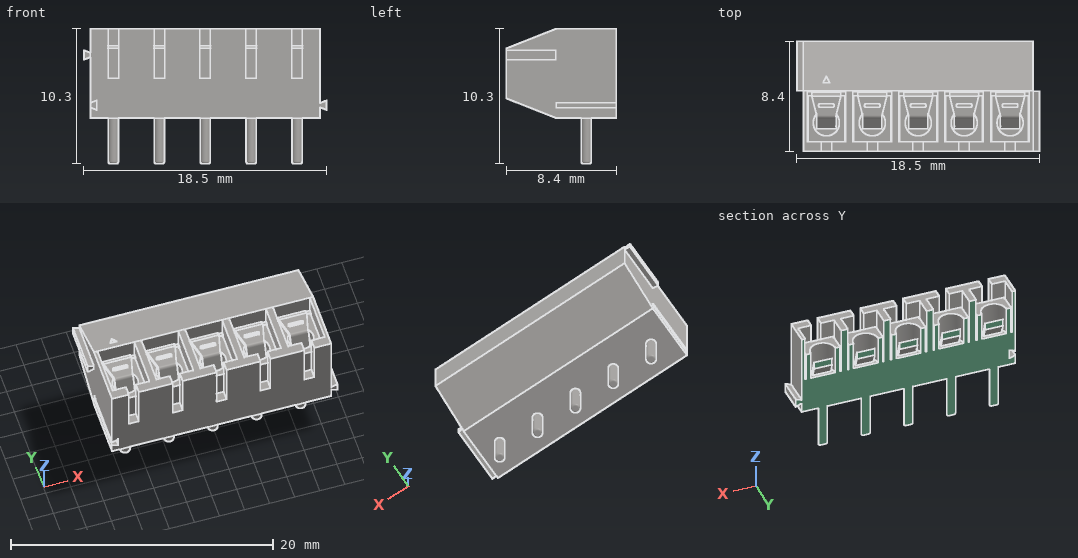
import cadquery as cq
import math


total_length = 18.5
total_height = 10.3

cell_count = 5
rail_height = 0.5
housing_length = total_length - 2 * rail_height
pitch = housing_length / cell_count
depth = 8.4
pin_length = 3.5
height = total_height - pin_length
bevel_depth = 3.8
bevel_drop = 1.5
roof_front = depth - bevel_depth

pocket_width = 2.95
front_wall = 0.74
pocket_depth = 3.8
pocket_floor = height - pocket_depth
slot_width = 0.8

cage_gap = 0.07
cage_height = 2.3
cage_top = pocket_floor + cage_height
shoulder_depth = 0.3
shoulder_drop = 0.1
back_gap = 0.05
cage_back = roof_front - back_gap
shoulder_front = cage_back - shoulder_depth
screw_y = 2.18
screw_diameter = 2.0

sheet = 0.2
tongue_top = cage_top + sheet
tongue_setback = 0.04
tongue_back = cage_back - tongue_setback
tongue_lip = 0.3
back_bend = tongue_back - tongue_lip
back_droop = 0.11
front_bend = 2.55
tongue_tip = 1.72
tip_drop = tongue_top - pocket_floor
tip_slope = math.atan2(tip_drop, front_bend - tongue_tip)
bend_radius = 0.28
taper_end = front_bend + bend_radius * math.tan(tip_slope / 2)
tongue_wide = 2.22
tongue_narrow = 1.48
tongue_slot_length = 1.2
tongue_slot_width = 0.28
tongue_slot_y = 3.5

pin_diameter = 0.8
pin_y = 2.3
pin_edge_radius = 0.18

dovetail_wide = 0.74
dovetail_narrow = 0.35
rear_rail_length = bevel_depth
rear_rail_z = 4.81
front_rail_length = 4.59
front_rail_z = 0.98

mark_width = 0.5
mark_length = 0.46
mark_y = 5.25
mark_depth = 0.1

cell_centres = [(i + 0.5 - cell_count / 2) * pitch for i in range(cell_count)]


def box(width, y_start, y_end, z_start, z_end):
    """Box centred on X = 0 between the given Y and Z limits."""
    return (
        cq.Workplane("XY")
        .box(width, y_end - y_start, z_end - z_start, centered=(True, False, False))
        .translate((0, y_start, z_start))
    )


def extrude_along_x(points, width):
    """Extrude a (Y, Z) outline symmetrically about X = 0."""
    return cq.Workplane("YZ").polyline(points).close().extrude(width / 2, both=True)


def make_housing():
    outline = [
        (0, 0),
        (roof_front, 0),
        (depth, bevel_drop),
        (depth, height - bevel_drop),
        (roof_front, height),
        (0, height),
    ]
    return extrude_along_x(outline, housing_length)


def make_pocket():
    pocket = box(pocket_width, front_wall, roof_front, pocket_floor, height)
    slot = box(slot_width, 0, front_wall, pocket_floor, height)
    return pocket.union(slot)


def make_cage():
    body = box(pocket_width - 2 * cage_gap, front_wall, shoulder_front, pocket_floor, cage_top)
    shoulder = box(pocket_width, shoulder_front, cage_back, pocket_floor, cage_top - shoulder_drop)
    screw_hole = (
        cq.Workplane("XY", origin=(0, screw_y, pocket_floor))
        .circle(screw_diameter / 2)
        .extrude(cage_height)
    )
    return body.union(shoulder).cut(screw_hole)


def make_tongue():
    upper = [
        (tongue_back, tongue_top - back_droop),
        (back_bend, tongue_top),
        (front_bend, tongue_top),
        (tongue_tip, pocket_floor),
    ]
    lower = [
        (tongue_tip + sheet / math.sin(tip_slope), pocket_floor),
        (front_bend + sheet * math.tan(tip_slope / 2), cage_top),
        (back_bend, cage_top),
        (tongue_back, cage_top - back_droop),
    ]
    strip = extrude_along_x(upper + lower, tongue_wide)
    bend_edge = cq.selectors.NearestToPointSelector((0, front_bend, tongue_top))
    strip = strip.edges(bend_edge).fillet(bend_radius)

    half_wide = tongue_wide / 2
    half_narrow = tongue_narrow / 2
    plan = (
        cq.Workplane("XY")
        .polyline([
            (-half_narrow, tongue_tip),
            (half_narrow, tongue_tip),
            (half_narrow, taper_end),
            (half_wide, back_bend),
            (half_wide, tongue_back),
            (-half_wide, tongue_back),
            (-half_wide, back_bend),
            (-half_narrow, taper_end),
        ])
        .close()
        .extrude(height)
    )
    slot = (
        cq.Workplane("XY", origin=(0, tongue_slot_y, cage_top))
        .slot2D(tongue_slot_length, tongue_slot_width)
        .extrude(sheet)
    )
    return strip.intersect(plan).cut(slot)


def make_pin():
    return (
        cq.Workplane("XY", origin=(0, pin_y, 0))
        .circle(pin_diameter / 2)
        .extrude(-pin_length)
        .faces("<Z")
        .edges()
        .fillet(pin_edge_radius)
    )


def make_dovetail(root_x, direction, root_width, end_width, z, y_start, y_end):
    """Dovetail bar along Y, reaching from root_x by the rail height in the given X direction."""
    end_x = root_x + direction * rail_height
    return (
        cq.Workplane("XZ", origin=(0, y_start, 0))
        .polyline([
            (root_x, z - root_width / 2),
            (end_x, z - end_width / 2),
            (end_x, z + end_width / 2),
            (root_x, z + root_width / 2),
        ])
        .close()
        .extrude(y_start - y_end)
    )


def make_mark():
    """Triangular prism sunk into the bevel at a constant vertical depth."""
    prism = (
        cq.Workplane("XY")
        .polyline([
            (-mark_width / 2, mark_y),
            (mark_width / 2, mark_y),
            (0, mark_y + mark_length),
        ])
        .close()
        .extrude(height)
    )
    prism = prism.translate((cell_centres[0], 0, 0))
    return prism.cut(make_housing().translate((0, 0, -mark_depth)))


result = make_housing().cut(make_mark())

pocket = make_pocket()
clamp = make_cage().union(make_tongue())
pin = make_pin()
for x in cell_centres:
    offset = (x, 0, 0)
    result = result.cut(pocket.translate(offset))
    result = result.union(clamp.translate(offset))
    result = result.union(pin.translate(offset))

left_end = -housing_length / 2
right_end = housing_length / 2
rear_rail = make_dovetail(
    left_end, -1, dovetail_narrow, dovetail_wide, rear_rail_z, depth - rear_rail_length, depth
)
front_rail = make_dovetail(
    right_end, 1, dovetail_narrow, dovetail_wide, front_rail_z, 0, front_rail_length
)
front_groove = make_dovetail(
    left_end, 1, dovetail_narrow, dovetail_wide, front_rail_z, 0, front_rail_length
)
result = result.union(rear_rail).union(front_rail).cut(front_groove)